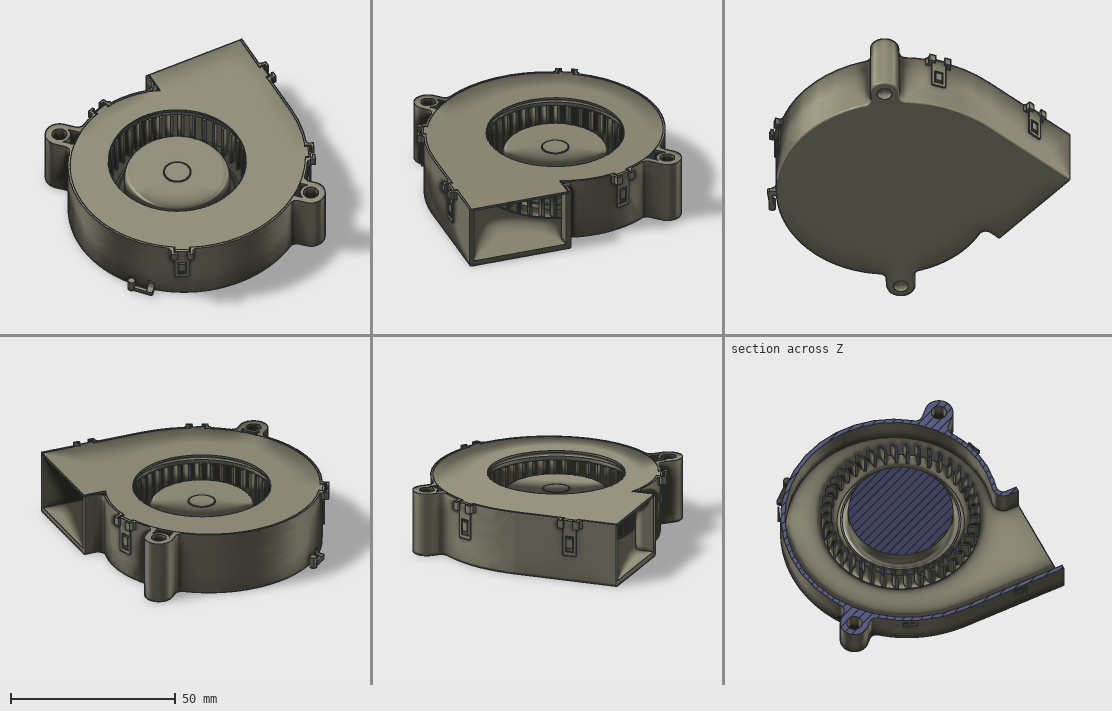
import cadquery as cq
import math


height = 20.0
outlet_x = -35.4
outlet_top_y = 40.66
outlet_bottom_y = 7.75
side_wall = 1.4
outlet_bottom_wall = 1.65
floor_thickness = 1.67
bottom_round = 0.8
tongue_radius = 2.15

scroll_radius = 37.48
scroll_growth = 3.18
scroll_growth_change = -0.085
scroll_start = 93.2
scroll_points = 28
angle_search_range = (-225.0, -170.0)
angle_search_steps = 40

lid_thickness = 0.65
rim_width = 0.65
lid_bottom = height - lid_thickness
inlet_radius = 21.0
tongue_gap_y = 8.8
tongue_gap_x = -28.15
tongue_gap_end = (-29.4, 5.0)

ears = [(30.56, 30.0, 45), (-26.2, -26.77, 225)]
ear_radius = 4.35
ear_hole_radius = 2.25
ear_length = 9.6
ear_corner_distance = 4.8
ear_fillet = 2.1
ear_pocket_width = 5.3
ear_pocket_radius = 3.3
ear_pocket_depth = 6.0

round_clip_angles = [68, -25.2, -160.2]
straight_clip_x = -20.4
clip_gap = 5.0
clip_leg = 0.85
clip_lip = 1.0
clip_lip_thickness = 0.75
clip_reach = 2.13
clip_flare = 0.65
clip_height = 2.57
clip_root = 0.5
strap_width = 4.4
strap_offset = 0.4
strap_thickness = 0.4
strap_bevel_width = 0.3
strap_bevel_height = 0.55
strap_bottom = 8.4
strap_corner = 0.4
window_width = 2.6
window_bottom = 9.7
window_top = 14.6
barb_width = 2.0
barb_bottom = 10.9
barb_top = 13.9

hook_elbow = (29.3, -24.4)
hook_tip = (24.5, -28.5)
hook_width = 1.2
hook_bottom = 0.5
hook_bar_top = 1.7
hook_pin_top = 4.0
hook_pin_radius = 1.05
stem_angle = -40.2
stem_width = 1.9
stem_inner_radius = 35.5

disc_bottom = 3.57
disc_thickness = 0.4
blade_count = 40
blade_phase = 3.0
blade_inner_radius = 21.2
blade_outer_radius = 24.25
blade_lean = 3.0
blade_bow = 1.2
blade_angle = 2.2
ring_bottom = 16.7
ring_top = 17.9
ring_inner_radius = 22.0
ring_outer_radius = 26.75
hub_radius = 16.0
hub_top = 14.8
hub_top_round = 2.05
hub_foot_z = 4.85
hub_flare_height = 2.95
hub_flare_radius = 17.85
hub_ledge_radius = 18.35
hub_foot_radius = 19.4
cap_radius = 4.2
cap_top_radius = 3.9
cap_height = 0.15


arc_middle = 1 - math.sqrt(0.5)


def polar(radius, angle):
    return radius * math.cos(math.radians(angle)), radius * math.sin(math.radians(angle))


def scroll_point(angle, inset=0.0):
    turn = angle / 90
    radius = scroll_radius + scroll_growth * turn + scroll_growth_change * turn**2
    return polar(radius - inset, angle)


def scroll_end(inset, bottom_y):
    """Angle at which the scroll runs into the bottom side of the outlet."""
    low, high = angle_search_range
    for _ in range(angle_search_steps):
        middle = (low + high) / 2
        if scroll_point(middle, inset)[1] > bottom_y:
            low = middle
        else:
            high = middle
    return low


def scroll_prism(inset, bottom_inset, z_bottom, z_top):
    """Prism with the housing outline moved inwards, open-ended at the outlet face."""
    bottom_y = outlet_bottom_y + bottom_inset
    top_y = outlet_top_y - inset
    end = scroll_end(inset, bottom_y)
    step = (end - scroll_start) / scroll_points
    curve = [scroll_point(scroll_start + step * i, inset) for i in range(1, scroll_points + 1)]
    start_x = scroll_point(scroll_start, inset)[0]
    prism = (
        cq.Workplane("XY", origin=(0, 0, z_bottom))
        .moveTo(outlet_x, bottom_y)
        .lineTo(outlet_x, top_y)
        .lineTo(start_x, top_y)
        .spline(curve, includeCurrent=True)
        .close()
        .extrude(z_top - z_bottom)
    )
    tongue = (*curve[-1], (z_bottom + z_top) / 2)
    return prism.edges(cq.NearestToPointSelector(tongue)).fillet(tongue_radius + inset)


def box(x_size, y_range, z_range):
    """Box centred on X, between two Y and two Z values."""
    y_size = y_range[1] - y_range[0]
    z_size = z_range[1] - z_range[0]
    corner = (-x_size / 2, y_range[0], z_range[0])
    return cq.Workplane("XY").box(x_size, y_size, z_size, centered=False).translate(corner)


def at_clips(shape):
    """Copies of a shape placed at every clip; its +Y becomes the outward normal of the wall."""
    copies = [shape.translate((straight_clip_x, outlet_top_y, 0))]
    for angle in round_clip_angles:
        x, y = scroll_point(angle)
        copies.append(shape.rotate((0, 0, 0), (0, 0, 1), angle - 90).translate((x, y, 0)))
    return copies


def ear_body(x, y, angle):
    neck = cq.Workplane("XY", origin=(-ear_length / 2, 0, height / 2))
    neck = neck.box(ear_length, 2 * ear_radius, height)
    ear = cq.Workplane("XY").circle(ear_radius).extrude(height).union(neck)
    return ear.rotate((0, 0, 0), (0, 0, 1), angle).translate((x, y, 0))


def ear_corners(x, y, angle):
    """Points next to the two upright corners where an ear meets the scroll wall."""
    away = polar(ear_corner_distance, angle + 180)
    for side in (-1, 1):
        flank = polar(ear_radius, angle + 90 * side)
        yield (x + away[0] + flank[0], y + away[1] + flank[1], height / 2)


def ear_pocket(x, y, angle):
    """Pocket between the ear hole and the lid edge."""
    pocket = (
        cq.Workplane("XY", origin=(-ear_length / 2, 0, height - ear_pocket_depth / 2))
        .box(ear_length, ear_pocket_width, ear_pocket_depth)
        .cut(cq.Workplane("XY").circle(ear_pocket_radius).extrude(height))
    )
    return pocket.rotate((0, 0, 0), (0, 0, 1), angle).translate((x, y, 0))


def clip_guide(side):
    """One hooked guide beside a strap; side is -1 or 1."""
    inner = clip_gap / 2
    outer = inner + clip_leg
    points = [
        (inner, -clip_root),
        (inner, clip_reach - clip_lip_thickness),
        (inner - clip_lip, clip_reach - clip_lip_thickness),
        (inner - clip_lip, clip_reach),
        (outer, clip_reach),
        (outer, clip_flare),
        (outer + clip_flare, 0),
        (outer + clip_flare, -clip_root),
    ]
    return (
        cq.Workplane("XY", origin=(0, 0, height - clip_height))
        .polyline([(side * x, y) for x, y in points])
        .close()
        .extrude(clip_height)
    )


def hook_stem():
    """Stem that ramps down in a hollow curve from the wall to the bar of the cable hook."""
    outer_radius = math.hypot(*hook_elbow)
    wall_radius = math.hypot(*scroll_point(stem_angle))
    run = outer_radius - wall_radius
    rise = hook_pin_top - hook_bar_top
    stem = (
        cq.Workplane("XZ", origin=(0, stem_width / 2, 0))
        .moveTo(stem_inner_radius, hook_bottom)
        .lineTo(outer_radius, hook_bottom)
        .lineTo(outer_radius, hook_bar_top)
        .threePointArc(
            (wall_radius + run * arc_middle, hook_bar_top + rise * arc_middle),
            (wall_radius, hook_pin_top),
        )
        .lineTo(stem_inner_radius, hook_pin_top)
        .close()
        .extrude(stem_width)
    )
    return stem.rotate((0, 0, 0), (0, 0, 1), stem_angle)


def cable_hook():
    dx = hook_tip[0] - hook_elbow[0]
    dy = hook_tip[1] - hook_elbow[1]
    bar = (
        cq.Workplane("XY")
        .box(math.hypot(dx, dy), hook_width, hook_bar_top - hook_bottom, centered=(False, True, False))
        .rotate((0, 0, 0), (0, 0, 1), math.degrees(math.atan2(dy, dx)))
        .translate((*hook_elbow, hook_bottom))
    )
    elbow = cq.Workplane("XY", origin=(*hook_elbow, hook_bottom)).circle(hook_width / 2)
    elbow = elbow.extrude(hook_bar_top - hook_bottom)
    pin = cq.Workplane("XY", origin=(*hook_tip, hook_bottom)).circle(hook_pin_radius)
    pin = pin.extrude(hook_pin_top - hook_bottom)
    return bar.union(elbow).union(pin).union(hook_stem())


def make_housing():
    housing = scroll_prism(0, 0, 0, height)
    for ear in ears:
        housing = housing.union(ear_body(*ear))
    for ear in ears:
        for corner in ear_corners(*ear):
            housing = housing.edges(cq.NearestToPointSelector(corner)).fillet(ear_fillet)
    housing = housing.faces("<Z").edges("not(<X)").fillet(bottom_round)

    for shape in (clip_guide(-1), clip_guide(1)):
        for copy in at_clips(shape):
            housing = housing.union(copy)
    barb = box(barb_width, (-clip_root, strap_offset + strap_thickness), (barb_bottom, barb_top))
    for copy in at_clips(barb):
        housing = housing.union(copy)
    housing = housing.union(cable_hook())

    housing = housing.cut(scroll_prism(side_wall, outlet_bottom_wall, floor_thickness, height))
    lid_recess = scroll_prism(rim_width, rim_width, lid_bottom, height)
    housing = housing.cut(lid_recess)
    notch = box(clip_gap, (-2 * rim_width, clip_reach / 2), (lid_bottom, height))
    for copy in at_clips(notch):
        housing = housing.cut(copy)

    inside = scroll_prism(rim_width, rim_width, 0, height)
    for ear in ears:
        housing = housing.cut(ear_pocket(*ear).cut(inside))
        hole = cq.Workplane("XY", origin=(ear[0], ear[1], 0)).circle(ear_hole_radius).extrude(height)
        housing = housing.cut(hole)
    return housing


def lid_strap():
    """Strap that hangs from the lid edge, with the window that takes the barb."""
    outside = strap_offset + strap_thickness
    strap = box(strap_width, (strap_offset, outside), (strap_bottom, height))
    strap = strap.edges("|Y").edges("<Z").fillet(strap_corner)
    strap = strap.union(box(strap_width, (-2 * rim_width, outside), (lid_bottom, height)))
    strap = strap.faces(">Z").edges(">Y").chamfer(strap_bevel_width, strap_bevel_height)
    return strap.cut(box(window_width, (0, clip_reach), (window_bottom, window_top)))


def make_lid():
    lid = scroll_prism(rim_width, rim_width, lid_bottom, height)
    tongue_gap = (
        cq.Workplane("XY")
        .polyline([
            (2 * outlet_x, tongue_gap_y),
            (tongue_gap_x, tongue_gap_y),
            tongue_gap_end,
            (2 * outlet_x, tongue_gap_end[1]),
        ])
        .close()
        .extrude(height)
    )
    lid = lid.cut(tongue_gap)
    lid = lid.cut(cq.Workplane("XY").circle(inlet_radius).extrude(height))
    for copy in at_clips(lid_strap()):
        lid = lid.union(copy)
    return lid


def blade(angle):
    middle_radius = (blade_inner_radius + blade_outer_radius) / 2
    middle_lean = blade_lean / 2 - blade_bow
    return (
        cq.Workplane("XY", origin=(0, 0, disc_bottom))
        .moveTo(*polar(blade_inner_radius, angle))
        .threePointArc(
            polar(middle_radius, angle + middle_lean),
            polar(blade_outer_radius, angle + blade_lean),
        )
        .lineTo(*polar(blade_outer_radius, angle + blade_lean + blade_angle))
        .threePointArc(
            polar(middle_radius, angle + middle_lean + blade_angle),
            polar(blade_inner_radius, angle + blade_angle),
        )
        .close()
        .extrude(ring_bottom - disc_bottom)
    )


def make_impeller():
    flare_run = hub_flare_radius - hub_radius
    round_in = hub_top_round * arc_middle
    disc_top = disc_bottom + disc_thickness
    hub_profile = (
        cq.Workplane("XZ")
        .moveTo(0, disc_bottom)
        .lineTo(blade_outer_radius, disc_bottom)
        .lineTo(blade_outer_radius, disc_top)
        .lineTo(hub_foot_radius, disc_top)
        .lineTo(hub_ledge_radius, hub_foot_z)
        .lineTo(hub_flare_radius, hub_foot_z)
        .threePointArc(
            (hub_radius + flare_run * arc_middle, hub_foot_z + hub_flare_height * arc_middle),
            (hub_radius, hub_foot_z + hub_flare_height),
        )
        .lineTo(hub_radius, hub_top - hub_top_round)
        .threePointArc(
            (hub_radius - round_in, hub_top - round_in),
            (hub_radius - hub_top_round, hub_top),
        )
        .lineTo(cap_radius, hub_top)
        .lineTo(cap_top_radius, hub_top + cap_height)
        .lineTo(0, hub_top + cap_height)
        .close()
    )
    impeller = hub_profile.revolve(360, (0, 0, 0), (0, 1, 0))
    ring = (
        cq.Workplane("XY", origin=(0, 0, ring_bottom))
        .circle(ring_outer_radius)
        .circle(ring_inner_radius)
        .extrude(ring_top - ring_bottom)
    )
    impeller = impeller.union(ring)
    for i in range(blade_count):
        impeller = impeller.union(blade(blade_phase + i * 360 / blade_count))
    return impeller


housing = make_housing()
lid = make_lid()
impeller = make_impeller()

result = cq.Compound.makeCompound([housing.val(), lid.val(), impeller.val()])